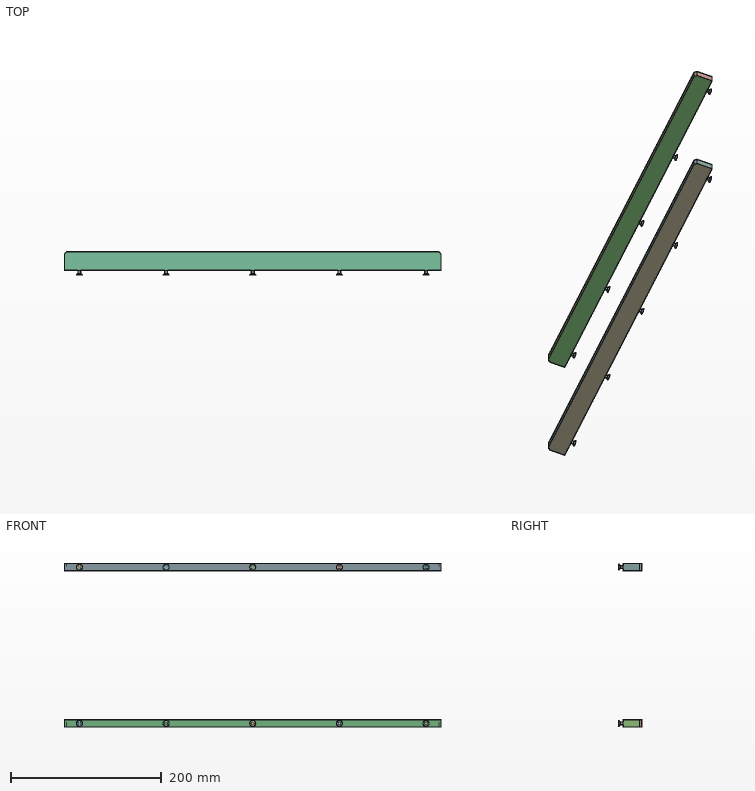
import cadquery as cq

BAR_LENGTH = 500.0
BAR_DEPTH = 25.0
BAR_HEIGHT = 10.0
REAR_CHAMFER = 3.0

PEG_COUNT = 5
PEG_END_MARGIN = 20.0
PEG_PITCH = (BAR_LENGTH - 2 * PEG_END_MARGIN) / (PEG_COUNT - 1)
PEG_LENGTH = 6.0
NECK_DIAMETER = 4.0
HEAD_DIAMETER = 8.0
HEAD_RIM = 0.3
FLARE_LENGTH = (HEAD_DIAMETER - NECK_DIAMETER) / 2
NECK_LENGTH = PEG_LENGTH - HEAD_RIM - FLARE_LENGTH

OVERALL_HEIGHT = 217.37
BAR_SPACING = OVERALL_HEIGHT - BAR_HEIGHT


def peg(x):
    """Neck flaring into a flat-topped head, pointing toward -Y from the front face at y = 0."""
    neck_radius = NECK_DIAMETER / 2
    head_radius = HEAD_DIAMETER / 2
    profile = (
        cq.Workplane("XY")
        .lineTo(neck_radius, 0)
        .lineTo(neck_radius, -NECK_LENGTH)
        .lineTo(head_radius, -PEG_LENGTH + HEAD_RIM)
        .lineTo(head_radius, -PEG_LENGTH)
        .lineTo(0, -PEG_LENGTH)
        .close()
    )
    return profile.revolve(360, (0, 0, 0), (0, 1, 0)).translate((x, 0, 0))


def pegged_bar(z):
    """Bar centred at height z, with its row of pegs as part of the same solid."""
    bar = cq.Workplane("XY").box(BAR_LENGTH, BAR_DEPTH, BAR_HEIGHT, centered=(True, False, True))
    bar = bar.edges("|Z and >Y").chamfer(REAR_CHAMFER)
    first_peg_x = -BAR_LENGTH / 2 + PEG_END_MARGIN
    for index in range(PEG_COUNT):
        bar = bar.union(peg(first_peg_x + index * PEG_PITCH))
    return bar.translate((0, 0, z))


bars = [pegged_bar(side * BAR_SPACING / 2) for side in (-1, 1)]

result = cq.Compound.makeCompound([bar.solids().val() for bar in bars])